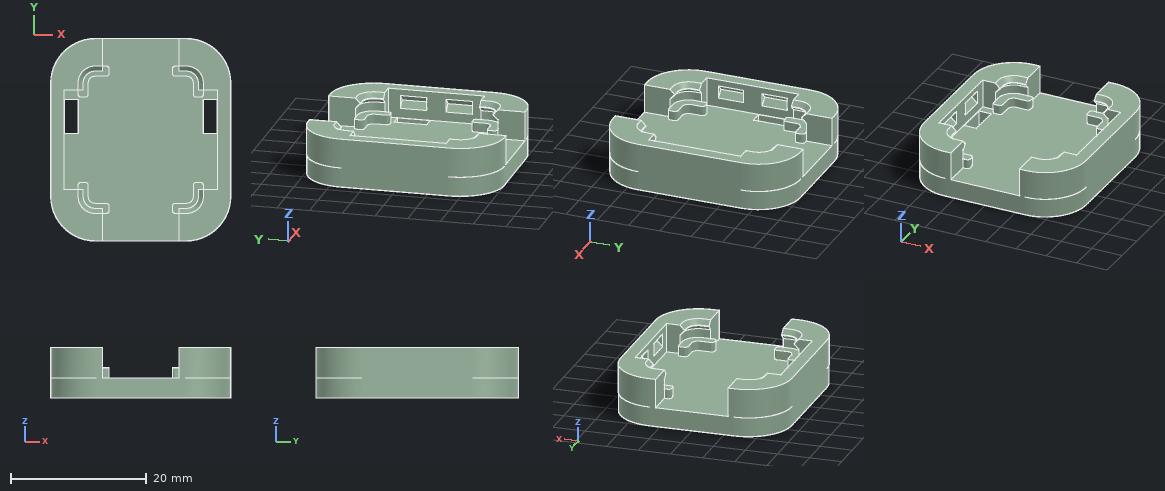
import cadquery as cq

WIDTH = 26.7
LENGTH = 30.0
HEIGHT = 7.5
FLOOR_THICKNESS = 3.0
RIM_HEIGHT = HEIGHT - FLOOR_THICKNESS
BASE_CORNER_RADIUS = 6.75
RIM_CORNER_RADIUS = 6.65

CHANNEL_WIDTH = 11.3
SIDE_WALL = 2.0
SIDE_POCKET_WIDTH = WIDTH - 2 * SIDE_WALL
SIDE_POCKET_LENGTH = 14.7

SEAT_WIDTH = 18.55
SEAT_LENGTH = 21.8
SEAT_CORNER_RADIUS = 2.5

RIDGE_DEPTH = 0.75
RIDGE_FLAT = 0.1

SUPPORT_ARM = 4.6
SUPPORT_WIDTH = 1.5
SUPPORT_HEIGHT = 1.5
SUPPORT_END_RADIUS = 0.45

SLOT_WIDTH = 2.0
SLOT_LENGTH = 5.0
SLOT_CENTER_Y = 3.45

NOTCH_LENGTH = 4.0
NOTCH_HEIGHT = 2.0
NOTCH_DEPTH = NOTCH_HEIGHT / 2
NOTCH_BOTTOM = FLOOR_THICKNESS + SUPPORT_HEIGHT
NOTCH_CENTER_Y = 3.5


def block(width, length, bottom, height):
    """Block centred on the Z axis, standing on the given Z level."""
    level = cq.Workplane("XY", origin=(0, 0, bottom))
    return level.box(width, length, height, centered=(True, True, False))


def rounded_block(width, length, bottom, height, radius):
    """Centred block with rounded vertical edges."""
    return block(width, length, bottom, height).edges("|Z").fillet(radius)


def seat_block(bottom, height, inset=0.0):
    """Block with the seat outline, drawn in all round by the inset."""
    return rounded_block(
        SEAT_WIDTH - 2 * inset,
        SEAT_LENGTH - 2 * inset,
        bottom,
        height,
        SEAT_CORNER_RADIUS - inset,
    )


def seat_cavity():
    """Seat cavity that narrows to the ridge near the top and flares out again above it."""
    flare_bottom = HEIGHT - RIDGE_DEPTH
    throat_bottom = flare_bottom - RIDGE_FLAT
    lower = seat_block(FLOOR_THICKNESS, throat_bottom - FLOOR_THICKNESS)
    lower = lower.faces(">Z").edges().chamfer(RIDGE_DEPTH)
    throat = seat_block(throat_bottom, RIDGE_FLAT, RIDGE_DEPTH)
    flare = seat_block(flare_bottom, 2 * RIDGE_DEPTH)
    flare = flare.faces("<Z").edges().chamfer(RIDGE_DEPTH)
    return lower.union(throat).union(flare)


def wall_notches():
    """Two V-grooves in each side wall."""
    wall_x = SIDE_POCKET_WIDTH / 2
    groove = (
        cq.Workplane("XZ")
        .moveTo(wall_x, NOTCH_BOTTOM)
        .lineTo(wall_x + NOTCH_DEPTH, NOTCH_BOTTOM + NOTCH_HEIGHT / 2)
        .lineTo(wall_x, NOTCH_BOTTOM + NOTCH_HEIGHT)
        .close()
        .extrude(NOTCH_LENGTH / 2, both=True)
    )
    one_side = groove.translate((0, NOTCH_CENTER_Y, 0))
    one_side = one_side.union(groove.translate((0, -NOTCH_CENTER_Y, 0)))
    return one_side.union(one_side.mirror("YZ"))


def rim():
    """Raised rim, opened by the channel, side pocket, seat and notches."""
    body = rounded_block(WIDTH, LENGTH, FLOOR_THICKNESS, RIM_HEIGHT, RIM_CORNER_RADIUS)
    body = body.cut(block(CHANNEL_WIDTH, LENGTH, FLOOR_THICKNESS, RIM_HEIGHT))
    body = body.cut(block(SIDE_POCKET_WIDTH, SIDE_POCKET_LENGTH, FLOOR_THICKNESS, RIM_HEIGHT))
    return body.cut(seat_cavity()).cut(wall_notches())


def supports():
    """Four L-shaped supports: the corners of a ring that follows the seat outline."""
    ring = seat_block(FLOOR_THICKNESS, SUPPORT_HEIGHT)
    ring = ring.cut(seat_block(FLOOR_THICKNESS, SUPPORT_HEIGHT, SUPPORT_WIDTH))
    gap_x = SEAT_WIDTH - 2 * SUPPORT_ARM
    gap_y = SEAT_LENGTH - 2 * SUPPORT_ARM
    corners = ring.cut(block(gap_x, SEAT_LENGTH, FLOOR_THICKNESS, SUPPORT_HEIGHT))
    corners = corners.cut(block(SEAT_WIDTH, gap_y, FLOOR_THICKNESS, SUPPORT_HEIGHT))

    reach = SUPPORT_WIDTH / 2
    half_x = gap_x / 2 + reach
    half_y = gap_y / 2 + reach
    ends_at_x_gap = cq.selectors.BoxSelector((-half_x, -LENGTH, 0), (half_x, LENGTH, HEIGHT))
    ends_at_y_gap = cq.selectors.BoxSelector((-WIDTH, -half_y, 0), (WIDTH, half_y, HEIGHT))
    arm_ends = corners.edges("|Z").edges(ends_at_x_gap + ends_at_y_gap)
    return arm_ends.fillet(SUPPORT_END_RADIUS)


def floor_slots():
    """Two through slots beside the side walls."""
    slot_x = (SEAT_WIDTH + SLOT_WIDTH) / 2
    slot = block(SLOT_WIDTH, SLOT_LENGTH, 0, FLOOR_THICKNESS)
    slot = slot.translate((slot_x, SLOT_CENTER_Y, 0))
    return slot.union(slot.mirror("YZ"))


base = rounded_block(WIDTH, LENGTH, 0, FLOOR_THICKNESS, BASE_CORNER_RADIUS)
result = base.union(rim()).union(supports()).cut(floor_slots())